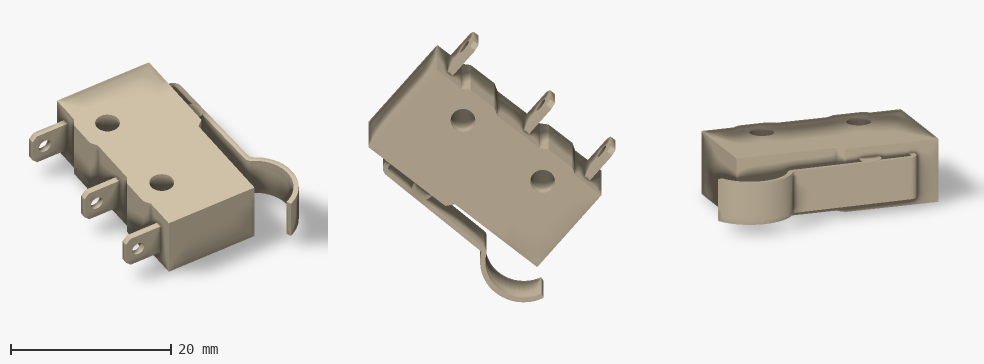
import cadquery as cq
import math


HOUSING_LENGTH = 26.57
HOUSING_DEPTH = 13.5
HOUSING_HEIGHT = 8.2
MID_HEIGHT = HOUSING_HEIGHT / 2
STEP_START = 12.47
STEP_RUN = 0.82
STEP_DROP = 0.95
BUMP_CENTERS = (6.88, 19.47)
BUMP_BASE = 5.7
BUMP_SLOPE_RUN = 0.9
BUMP_RISE = 0.57
MOUNT_HOLE_DIAMETER = 3.08
MOUNT_HOLE_CENTERS = (6.82, 19.7)
MOUNT_HOLE_Y = 3.2

TERMINAL_CENTERS = (2.08, 14.43, 24.27)
TERMINAL_THICKNESS = 0.82
TERMINAL_LENGTH = 5.1
TERMINAL_WIDTH = 4.38
TERMINAL_MID_HEIGHT = 4.05
TERMINAL_CHAMFER = 0.65
TERMINAL_HOLE_DIAMETER = 1.75
TERMINAL_HOLE_DISTANCE = 3.3

PLUNGER_RADIUS = 1.35
PLUNGER_CENTER_X = 9.3
PLUNGER_RISE = 1.93
PLUNGER_WIDTH = 5.52

LEVER_THICKNESS = 0.65
LEVER_WIDTH = 5.43
LEVER_BOTTOM = 1.35
LEG_X = 3.32
LEVER_RISE = 1.9
LEVER_SLOPE = math.radians(1.4)
LEG_BEND_INNER_RADIUS = 0.55
HOOK_BEND_UPPER_RADIUS = 0.6
HOOK_BEND_LOWER_RADIUS = 0.9
HOOK_RADIUS = 5.45
HOOK_END_ANGLE = math.radians(23.5)
TOTAL_LENGTH = 30.2
HOOK_CENTER_X = TOTAL_LENGTH - HOOK_RADIUS * math.cos(HOOK_END_ANGLE)


def make_terminal(center_x):
    """Flat blade with two chamfered tip corners and a cross hole."""
    blade = (
        cq.Workplane("XY")
        .box(TERMINAL_THICKNESS, TERMINAL_LENGTH, TERMINAL_WIDTH)
        .edges("<Y and |X")
        .chamfer(TERMINAL_CHAMFER)
        .translate((center_x, -TERMINAL_LENGTH / 2, TERMINAL_MID_HEIGHT))
    )
    hole = (
        cq.Workplane("YZ", origin=(center_x, -TERMINAL_HOLE_DISTANCE, TERMINAL_MID_HEIGHT))
        .circle(TERMINAL_HOLE_DIAMETER / 2)
        .extrude(TERMINAL_THICKNESS, both=True)
    )
    return blade.cut(hole)


def make_housing():
    """Stepped block with two bumps, two mounting holes and three terminals."""
    outline = cq.Workplane("XY").moveTo(0, 0)
    for center in BUMP_CENTERS:
        half_base = BUMP_BASE / 2
        half_crest = half_base - BUMP_SLOPE_RUN
        outline = (
            outline.lineTo(center - half_base, 0)
            .lineTo(center - half_crest, -BUMP_RISE)
            .lineTo(center + half_crest, -BUMP_RISE)
            .lineTo(center + half_base, 0)
        )
    housing = (
        outline.lineTo(HOUSING_LENGTH, 0)
        .lineTo(HOUSING_LENGTH, HOUSING_DEPTH - STEP_DROP)
        .lineTo(STEP_START + STEP_RUN, HOUSING_DEPTH - STEP_DROP)
        .lineTo(STEP_START, HOUSING_DEPTH)
        .lineTo(0, HOUSING_DEPTH)
        .close()
        .extrude(HOUSING_HEIGHT)
    )
    mount_holes = (
        cq.Workplane("XY")
        .pushPoints([(x, MOUNT_HOLE_Y) for x in MOUNT_HOLE_CENTERS])
        .circle(MOUNT_HOLE_DIAMETER / 2)
        .extrude(HOUSING_HEIGHT)
    )
    housing = housing.cut(mount_holes)
    for center in TERMINAL_CENTERS:
        housing = housing.union(make_terminal(center))
    return housing


def make_plunger():
    """Round-topped button standing on the housing."""
    shoulder = PLUNGER_RISE - PLUNGER_RADIUS
    return (
        cq.Workplane("XY", origin=(PLUNGER_CENTER_X, HOUSING_DEPTH, MID_HEIGHT - PLUNGER_WIDTH / 2))
        .moveTo(-PLUNGER_RADIUS, 0)
        .lineTo(PLUNGER_RADIUS, 0)
        .lineTo(PLUNGER_RADIUS, shoulder)
        .threePointArc((0, PLUNGER_RISE), (-PLUNGER_RADIUS, shoulder))
        .close()
        .extrude(PLUNGER_WIDTH)
    )


def arm_point(x, depth):
    """Point at x on the sloping arm, at a depth below its upper face."""
    rise = LEVER_RISE + (x - LEG_X) * math.tan(LEVER_SLOPE)
    return (x, rise - depth / math.cos(LEVER_SLOPE))


def hook_point(radius, angle):
    """Point on a circle around the hook center."""
    return (HOOK_CENTER_X + radius * math.cos(angle), radius * math.sin(angle))


def arm_hook_angle(radius, depth):
    """Angle at which the arm face at this depth meets the hook circle."""
    distance = arm_point(HOOK_CENTER_X, depth)[1] * math.cos(LEVER_SLOPE)
    return math.pi + LEVER_SLOPE - math.asin(distance / radius)


def make_lever(plunger):
    """Bent strip: short leg, sloping arm and round hook, recessed for the plunger."""
    inner_radius = HOOK_RADIUS - LEVER_THICKNESS
    outer_start = arm_hook_angle(HOOK_RADIUS, 0)
    inner_start = arm_hook_angle(inner_radius, LEVER_THICKNESS)
    outer_corner = arm_point(LEG_X, 0)
    inner_corner = arm_point(LEG_X + LEVER_THICKNESS, LEVER_THICKNESS)
    outer_joint = hook_point(HOOK_RADIUS, outer_start)
    inner_joint = hook_point(inner_radius, inner_start)
    strip = (
        cq.Workplane("XY", origin=(0, HOUSING_DEPTH, LEVER_BOTTOM))
        .moveTo(LEG_X, 0)
        .lineTo(*outer_corner)
        .lineTo(*outer_joint)
        .threePointArc(
            hook_point(HOOK_RADIUS, math.pi / 2),
            hook_point(HOOK_RADIUS, HOOK_END_ANGLE),
        )
        .lineTo(*hook_point(inner_radius, HOOK_END_ANGLE))
        .threePointArc(hook_point(inner_radius, math.pi / 2), inner_joint)
        .lineTo(*inner_corner)
        .lineTo(LEG_X + LEVER_THICKNESS, 0)
        .close()
        .extrude(LEVER_WIDTH)
    )
    bends = (
        (inner_corner, LEG_BEND_INNER_RADIUS),
        (outer_corner, LEG_BEND_INNER_RADIUS + LEVER_THICKNESS),
        (outer_joint, HOOK_BEND_UPPER_RADIUS),
        (inner_joint, HOOK_BEND_LOWER_RADIUS),
    )
    for (x, y), radius in bends:
        corner = (x, HOUSING_DEPTH + y, LEVER_BOTTOM + LEVER_WIDTH / 2)
        strip = strip.edges(cq.selectors.NearestToPointSelector(corner)).fillet(radius)
    return strip.cut(plunger)


housing = make_housing()
plunger = make_plunger()
lever = make_lever(plunger)

result = cq.Compound.makeCompound([housing.val(), plunger.val(), lever.val()])